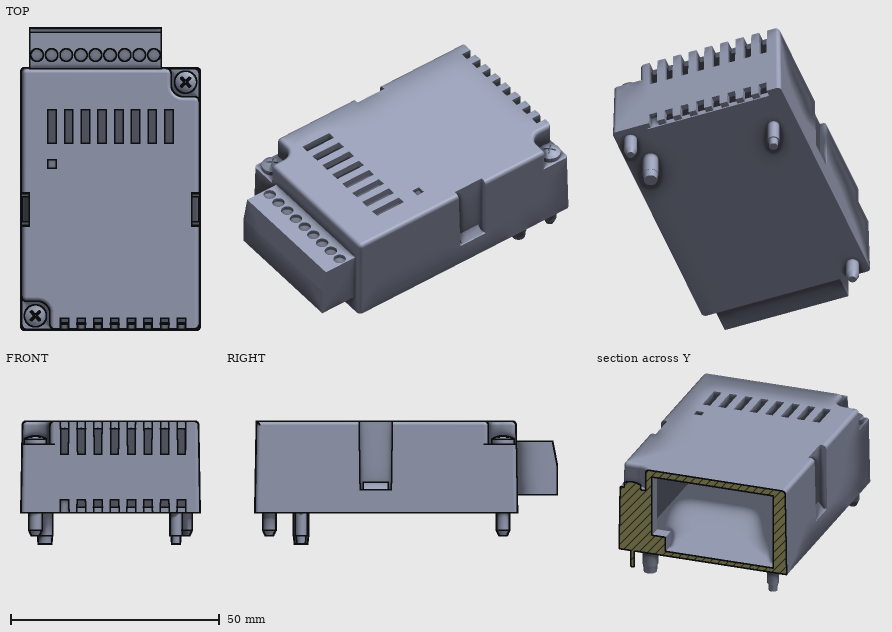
import cadquery as cq
import math

BODY_X = 43.0
BODY_Y = 63.0
BODY_Z = 22.0
DRAFT = 1.0
EDGE_R = 1.0
TOP_WALL = 1.8
FLOOR_T = 1.3
FLOOR_GAP = 0.25
FRONT_WALL = 1.5
SIDE_WALL = 3.5

POCKET_SIZE = 7.0
POCKET_R = 3.0
POCKET_FLOOR_Z = 16.5
POCKET_WALL = 1.5
POST_FOOT_X = 3.5
POST_FOOT_Z = 5.0
SCREW_INSET = 3.5
HEAD_R = 2.65
HEAD_RIM_H = 1.2
HEAD_H = 2.0
CROSS_LENGTH = 3.0
CROSS_WIDTH = 0.4
CROSS_DEPTH = 0.6
SCREW_R = 1.6
SCREW_TIP_R = 0.95
SCREW_SHANK = 4.1
SCREW_DEPTH = 5.5

PIN_X = 15.7
PIN_Y = -20.4
PIN_SHANK = 5.5
PIN_DEPTH = 7.5
LARGE_PIN_RADII = (1.9, 1.8, 1.6)
SMALL_PIN_RADII = (1.45, 1.15, 1.05)

SLOT_COUNT = 8
SLOT_PITCH = 4.0
SLOT_W = 2.0
FRONT_SLOT_FOOT_W = 1.8
BASE_SLOT_FOOT_W = 2.15
TOP_SLOT_X = 0.0
TOP_SLOT_Y = 17.35
TOP_SLOT_LENGTH = 8.0
FRONT_SLOT_X = 3.0
FRONT_SLOT_DEPTH = 2.9
FRONT_SLOT_Z = 14.1
BASE_SLOT_H = 3.1

WINDOW_SIZE = 2.0
WINDOW_Y = 8.35
WINDOW_DEPTH = 1.0

CLIP_Y = -2.5
CLIP_TOP_W = 8.0
CLIP_BASE_W = 7.5
CLIP_FLOOR_Z = 5.5
CLIP_INNER_X = 19.5
RAMP_W = 6.0
RAMP_H = 1.9
RAMP_OUTER_X = 21.1

BLOCK_W = 31.6
BLOCK_X = -3.6
BLOCK_BASE_Z = 4.3
BLOCK_TOP_Z = 17.2
BLOCK_END_Y = 41.0
BLOCK_TOP_END_Y = 39.9
BLOCK_SLOPE_Z = 11.5
TERMINAL_COUNT = 9
TERMINAL_PITCH = 3.5
TERMINAL_R = 1.5
TERMINAL_Y = 34.5
TERMINAL_DEPTH = 1.0

HALF_X = BODY_X / 2
HALF_Y = BODY_Y / 2
CAVITY_TOP_Z = BODY_Z - TOP_WALL
SCREW_X = HALF_X - SCREW_INSET
SCREW_Y = HALF_Y - SCREW_INSET


def box(x_range, y_range, z_range):
    """Block spanning the given (low, high) ranges."""
    size = [high - low for low, high in (x_range, y_range, z_range)]
    corner = (x_range[0], y_range[0], z_range[0])
    return cq.Workplane("XY").box(*size, centered=False).translate(corner)


def row(count, pitch, centre=0.0):
    """Evenly spaced positions about a centre."""
    return [centre + (i - (count - 1) / 2) * pitch for i in range(count)]


def both_corners(shape):
    """A front-left feature together with its copy at the rear-right corner."""
    return shape.union(shape.rotate((0, 0, 0), (0, 0, 1), 180))


def revolve_profile(points):
    """Solid of revolution about Z from (radius, z) points."""
    return cq.Workplane("XZ").polyline(points).close().revolve(360, (0, 0, 0), (0, 1, 0))


def corner_pockets():
    size = 2 * POCKET_SIZE
    pocket = (
        cq.Workplane("XY", origin=(-HALF_X, -HALF_Y, POCKET_FLOOR_Z))
        .rect(size, size)
        .extrude(BODY_Z)
        .edges("|Z")
        .fillet(POCKET_R)
    )
    return both_corners(pocket)


def outer_shell():
    """Drafted block with corner pockets; every outer edge but the top front one is rounded."""
    block = cq.Workplane("XY").rect(BODY_X, BODY_Y).extrude(BODY_Z, taper=DRAFT)
    shell = block.cut(corner_pockets())
    top_front_y = -HALF_Y + BODY_Z * math.tan(math.radians(DRAFT))

    def is_rounded(edge):
        limits = edge.BoundingBox()
        centre = edge.Center()
        if limits.zmin > BODY_Z - EDGE_R:
            return centre.y > top_front_y + EDGE_R / 2
        if limits.zlen < EDGE_R:
            return False
        in_side_wall = abs(centre.x) > HALF_X - EDGE_R
        in_end_wall = abs(centre.y) > HALF_Y - EDGE_R
        return in_side_wall or in_end_wall

    rounded = [edge for edge in shell.edges().vals() if is_rounded(edge)]
    return shell.newObject(rounded).fillet(EDGE_R)


def cavity():
    """Inner space, leaving a solid rear end, a front post and a gap ahead of the floor."""
    half_x = HALF_X - SIDE_WALL
    front_y = -HALF_Y + FRONT_WALL
    rear_y = HALF_Y - POCKET_SIZE - POCKET_WALL
    space = box((-half_x, half_x), (front_y, rear_y), (FLOOR_T, CAVITY_TOP_Z))
    post_size = POCKET_SIZE + POCKET_WALL
    post_x = post_size - HALF_X
    post_y = post_size - HALF_Y
    post = box((-HALF_X, post_x), (-HALF_Y, post_y), (0, BODY_Z))
    foot = box((-HALF_X, post_x + POST_FOOT_X), (-HALF_Y, post_y), (0, POST_FOOT_Z))
    gap = box((post_x, half_x), (front_y, front_y + FLOOR_GAP), (0, POST_FOOT_Z))
    return space.cut(post).cut(foot).union(gap)


def front_slot(x, foot_z, foot_w, top_z, depth):
    """Cutter entering the front wall, tapering from the foot width to the slot width."""
    return (
        cq.Workplane("XZ", origin=(x, -HALF_Y, 0))
        .polyline([
            (-foot_w / 2, foot_z),
            (foot_w / 2, foot_z),
            (SLOT_W / 2, top_z),
            (-SLOT_W / 2, top_z),
        ])
        .close()
        .extrude(-depth)
    )


def slot_cutters():
    half_w = SLOT_W / 2
    half_length = TOP_SLOT_LENGTH / 2
    y_range = (TOP_SLOT_Y - half_length, TOP_SLOT_Y + half_length)
    cutters = cq.Workplane("XY")
    for x in row(SLOT_COUNT, SLOT_PITCH, TOP_SLOT_X):
        cutters = cutters.add(box((x - half_w, x + half_w), y_range, (CAVITY_TOP_Z, BODY_Z)))
    for x in row(SLOT_COUNT, SLOT_PITCH, FRONT_SLOT_X):
        cutters = cutters.add(front_slot(x, FRONT_SLOT_Z, FRONT_SLOT_FOOT_W, BODY_Z, FRONT_SLOT_DEPTH))
        cutters = cutters.add(front_slot(x, 0, BASE_SLOT_FOOT_W, BASE_SLOT_H, FRONT_WALL))
    return cutters.combine()


def window_cutter():
    x = row(SLOT_COUNT, SLOT_PITCH, TOP_SLOT_X)[0]
    half = WINDOW_SIZE / 2
    return box((x - half, x + half), (WINDOW_Y - half, WINDOW_Y + half), (BODY_Z - WINDOW_DEPTH, BODY_Z))


def clip_recesses():
    """Tapered side recesses, each with a ramp rising from its floor to its inner face."""
    recess = (
        cq.Workplane("YZ", origin=(CLIP_INNER_X, CLIP_Y, 0))
        .polyline([
            (-CLIP_BASE_W / 2, CLIP_FLOOR_Z),
            (CLIP_BASE_W / 2, CLIP_FLOOR_Z),
            (CLIP_TOP_W / 2, BODY_Z),
            (-CLIP_TOP_W / 2, BODY_Z),
        ])
        .close()
        .extrude(HALF_X - CLIP_INNER_X)
    )
    ramp = (
        cq.Workplane("XZ", origin=(0, CLIP_Y, 0))
        .polyline([
            (CLIP_INNER_X, CLIP_FLOOR_Z),
            (RAMP_OUTER_X, CLIP_FLOOR_Z),
            (CLIP_INNER_X, CLIP_FLOOR_Z + RAMP_H),
        ])
        .close()
        .extrude(RAMP_W / 2, both=True)
    )
    recess = recess.cut(ramp)
    return recess.union(recess.mirror("YZ"))


def terminal_block():
    wall_y = HALF_Y - FRONT_WALL
    block = (
        cq.Workplane("YZ", origin=(BLOCK_X, 0, 0))
        .polyline([
            (wall_y, BLOCK_BASE_Z),
            (BLOCK_END_Y, BLOCK_BASE_Z),
            (BLOCK_END_Y, BLOCK_SLOPE_Z),
            (BLOCK_TOP_END_Y, BLOCK_TOP_Z),
            (wall_y, BLOCK_TOP_Z),
        ])
        .close()
        .extrude(BLOCK_W / 2, both=True)
    )
    holes = (
        cq.Workplane("XY", origin=(0, 0, BLOCK_TOP_Z))
        .pushPoints([(x, TERMINAL_Y) for x in row(TERMINAL_COUNT, TERMINAL_PITCH, BLOCK_X)])
        .circle(TERMINAL_R)
        .extrude(-TERMINAL_DEPTH)
    )
    return block.cut(holes)


def screws():
    """Domed cross-recess heads in the pockets, and the screw ends below the base."""
    rim_z = POCKET_FLOOR_Z + HEAD_RIM_H
    top_z = POCKET_FLOOR_Z + HEAD_H
    dome_h = HEAD_H - HEAD_RIM_H
    dome_r = (HEAD_R**2 + dome_h**2) / (2 * dome_h)
    mid_angle = math.asin(HEAD_R / dome_r) / 2
    dome_mid = (dome_r * math.sin(mid_angle), top_z - dome_r * (1 - math.cos(mid_angle)))
    head = (
        cq.Workplane("XZ")
        .moveTo(0, POCKET_FLOOR_Z)
        .lineTo(HEAD_R, POCKET_FLOOR_Z)
        .lineTo(HEAD_R, rim_z)
        .threePointArc(dome_mid, (0, top_z))
        .close()
        .revolve(360, (0, 0, 0), (0, 1, 0))
    )
    for angle in (45, -45):
        arm = cq.Workplane("XY", origin=(0, 0, top_z)).rect(CROSS_LENGTH, CROSS_WIDTH).extrude(-CROSS_DEPTH)
        head = head.cut(arm.rotate((0, 0, 0), (0, 0, 1), angle))
    end = revolve_profile([
        (0, 0),
        (SCREW_R, 0),
        (SCREW_R, -SCREW_SHANK),
        (SCREW_TIP_R, -SCREW_DEPTH),
        (0, -SCREW_DEPTH),
    ])
    return both_corners(head.union(end).translate((-SCREW_X, -SCREW_Y, 0)))


def locating_pin(radii, x):
    shank_r, tip_root_r, tip_end_r = radii
    pin = revolve_profile([
        (0, 0),
        (shank_r, 0),
        (shank_r, -PIN_SHANK),
        (tip_root_r, -PIN_SHANK),
        (tip_end_r, -PIN_DEPTH),
        (0, -PIN_DEPTH),
    ])
    return pin.translate((x, PIN_Y, 0))


housing = (
    outer_shell()
    .cut(cavity())
    .cut(slot_cutters())
    .cut(window_cutter())
    .cut(clip_recesses())
)
result = (
    housing
    .union(terminal_block())
    .union(screws())
    .union(locating_pin(LARGE_PIN_RADII, -PIN_X))
    .union(locating_pin(SMALL_PIN_RADII, PIN_X))
)